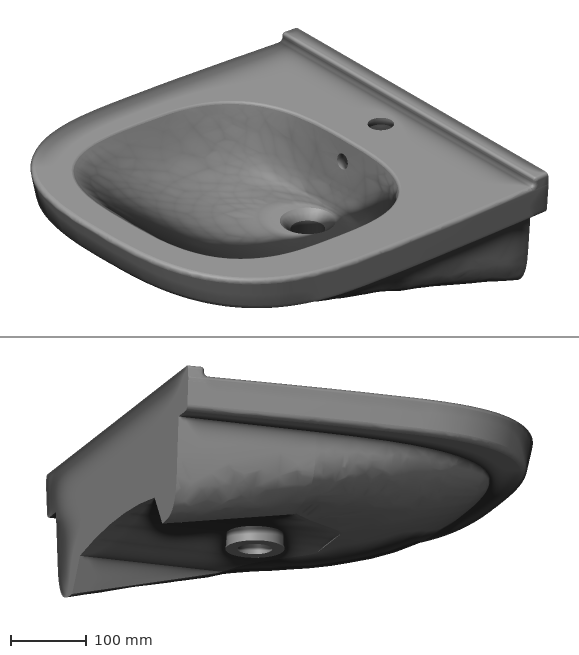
import cadquery as cq
import math


deck_points = 17
bowl_points = 24
underbody_points = 21
slack = 1.0

deck_depth = 550.3
deck_half_width = 275.15
wall_half_width = 265.0
deck_widest_y = -300.0
deck_exponent = 2.75
side_slope = 0.05
deck_thickness = 49.0
side_draft = 4.0
front_draft = 10.0
deck_top_round = 6.0
deck_bottom_round = 8.0
overall_height = 192.5

splash_height = 12.5
splash_depth = 23.5
splash_round = 4.0
splash_cove = 5.0
splash_side_round = 5.0
splash_root = 10.0
splash_inset = 0.4

drain_y = -195.0
drain_hole_diameter = 46.0
drain_seat_diameter = 74.0
drain_seat_depth = 12.0
boss_diameter = 76.0
boss_lip = 1.2
boss_lip_height = 2.0
boss_bottom_z = -145.0

bowl_depth = 103.0
bowl_floor_diameter = 76.0
bowl_half_width = 205.0
bowl_back_y = -133.0
bowl_front_y = -503.0
bowl_rim_exponent = 2.95
bowl_rim_round = 4.0
bowl_back_steepness = 3.5
bowl_front_steepness = 2.2
bowl_side_steepness = 3.5
bowl_levels = (1.0, 0.9, 0.75, 0.55, 0.3, 0.0)

tap_hole_diameter = 35.0
tap_y = -70.0
tap_hole_depth = 10.0
overflow_diameter = 22.0
overflow_z = -34.0
overflow_depth = 8.0

underbody_top_z = -40.0
underbody_half_width = 229.5
underbody_front_y = -502.0
underbody_plan_exponent = 2.8
leg_bottom_z = splash_height - overall_height
belly_y = -250.0
belly_z = -128.0
leg_exponent = 11.5
nose_exponent = 2.8
rounded_y = -420.0
corner_fade = 2
leg_draft = 0.055
nose_steepness = 1.9
nose_stations = (drain_y, -270, -350, -420, -470, -493, -501)

arch_crown_z = -124.0
arch_spring_x = 139.0
arch_spring_z = -135.5
leg_inner_x = 168.0
arch_length = 300.0


def superellipse_point(half_a, half_b, exponent, angle):
    """Point of |u/a|^n + |v/b|^n = 1 in the given direction of the unit square."""
    u = math.cos(angle)
    v = math.sin(angle)
    radius = (abs(u) ** exponent + abs(v) ** exponent) ** (-1 / exponent)
    return half_a * radius * u, half_b * radius * v


def deck_outline(z, side_inset, front_inset):
    """Closed deck outline: wall edge, bowed sides and superelliptic front."""
    half_width = deck_half_width - side_inset
    back_half = wall_half_width - side_inset
    front_length = deck_depth + deck_widest_y - front_inset
    front = []
    for i in range(deck_points):
        angle = math.pi * i / (deck_points - 1)
        x, y = superellipse_point(half_width, front_length, deck_exponent, angle)
        front.append((x, deck_widest_y - y))
    outline = [*front, (-back_half, 0)]
    return (
        cq.Workplane("XY", origin=(0, 0, z))
        .moveTo(-back_half, 0)
        .lineTo(back_half, 0)
        .spline(outline, tangents=[(side_slope, -1), (side_slope, 1)], includeCurrent=True)
        .close()
    )


def make_deck():
    trimmed = deck_top_round / deck_thickness
    top = deck_outline(0, -side_draft * trimmed, -front_draft * trimmed).val()
    bottom = deck_outline(-deck_thickness, side_draft, front_draft).val()
    deck = cq.Workplane(cq.Solid.makeLoft([top, bottom], True))
    off_wall = cq.selectors.BoxSelector(
        (-deck_depth, -deck_depth, -deck_depth), (deck_depth, -slack, deck_depth)
    )
    deck = deck.faces("<Z").edges(off_wall).fillet(deck_bottom_round)
    return deck.faces(">Z").edges(off_wall).fillet(deck_top_round)


def make_splash():
    cove_y = -splash_depth - splash_cove
    profile = (
        cq.Workplane("YZ", origin=(-deck_half_width, 0, 0))
        .moveTo(0, -splash_root)
        .lineTo(0, splash_height)
        .lineTo(splash_round - splash_depth, splash_height)
        .radiusArc((-splash_depth, splash_height - splash_round), -splash_round)
        .lineTo(-splash_depth, splash_cove)
        .radiusArc((cove_y, 0), splash_cove)
        .lineTo(cove_y, -splash_root)
        .close()
        .extrude(2 * deck_half_width)
    )
    footprint = deck_outline(-splash_root, splash_inset, 0).extrude(splash_root + splash_height)
    splash = profile.intersect(footprint)
    for side in (">X", "<X"):
        splash = splash.faces(">Z").edges(side).fillet(splash_side_round)
    return splash


def bowl_section(level):
    """Horizontal bowl section; level 1 is the rim and level 0 the flat floor circle."""
    floor_radius = bowl_floor_diameter / 2

    def reach(rim_reach, steepness):
        return floor_radius + (rim_reach - floor_radius) * level ** (bowl_front_steepness / steepness)

    back = drain_y + reach(bowl_back_y - drain_y, bowl_back_steepness)
    front = drain_y - reach(drain_y - bowl_front_y, bowl_front_steepness)
    half_width = reach(bowl_half_width, bowl_side_steepness)
    exponent = 2 + (bowl_rim_exponent - 2) * level
    z = -bowl_depth * (1 - level**bowl_front_steepness)
    points = []
    for i in range(bowl_points):
        angle = 2 * math.pi * i / bowl_points
        x, y = superellipse_point(half_width, (back - front) / 2, exponent, angle)
        points.append(cq.Vector(x, (back + front) / 2 + y, z))
    return cq.Wire.assembleEdges([cq.Edge.makeSpline(points, periodic=True)])


def make_bowl():
    return cq.Workplane(cq.Solid.makeLoft([bowl_section(level) for level in bowl_levels]))


def underbody_section(y):
    """Upright cross-section of the underbody: boxy at the wall, rounder and smaller forward."""
    forward = max(0.0, (drain_y - y) / (drain_y - underbody_front_y))
    narrowing = (1 - forward**underbody_plan_exponent) ** (1 / underbody_plan_exponent)
    half_width = underbody_half_width * narrowing
    if y > belly_y:
        bottom_z = leg_bottom_z + (belly_z - leg_bottom_z) * y / belly_y
    else:
        rise = (belly_y - y) / (belly_y - underbody_front_y)
        height = (belly_z - underbody_top_z) * (1 - rise**nose_steepness) ** (1 / nose_steepness)
        bottom_z = underbody_top_z + height
    boxiness = max(0.0, 1 - y / rounded_y) ** corner_fade
    exponent = nose_exponent + (leg_exponent - nose_exponent) * boxiness
    points = []
    for i in range(underbody_points):
        angle = math.pi * i / (underbody_points - 1)
        x, drop = superellipse_point(half_width, underbody_top_z - bottom_z, exponent, angle)
        taper = 1 - leg_draft * drop / (underbody_top_z - leg_bottom_z)
        points.append(cq.Vector(x * taper, y, underbody_top_z - drop))
    curve = cq.Edge.makeSpline(points)
    lid = cq.Edge.makeLine(points[-1], points[0])
    return cq.Wire.assembleEdges([curve, lid])


def make_underbody():
    legs = cq.Solid.makeLoft([underbody_section(0), underbody_section(drain_y)], True)
    nose = cq.Solid.makeLoft([underbody_section(y) for y in nose_stations])
    body = cq.Workplane(legs).union(cq.Workplane(nose))
    floor_z = 2 * leg_bottom_z
    arch = (
        cq.Workplane("XZ")
        .moveTo(-leg_inner_x, floor_z)
        .lineTo(-leg_inner_x, leg_bottom_z)
        .lineTo(-arch_spring_x, arch_spring_z)
        .threePointArc((0, arch_crown_z), (arch_spring_x, arch_spring_z))
        .lineTo(leg_inner_x, leg_bottom_z)
        .lineTo(leg_inner_x, floor_z)
        .close()
        .extrude(arch_length)
    )
    return body.cut(arch)


def make_boss():
    base = cq.Workplane("XY", origin=(0, drain_y, boss_bottom_z))
    barrel = base.circle(boss_diameter / 2).extrude(-bowl_depth - drain_seat_depth - boss_bottom_z)
    lip = base.circle(boss_diameter / 2 + boss_lip).extrude(boss_lip_height)
    return barrel.union(lip)


def make_drain():
    seat_radius = drain_seat_diameter / 2
    hole_radius = drain_hole_diameter / 2
    return (
        cq.Workplane("XZ", origin=(0, drain_y, 0))
        .moveTo(0, boss_bottom_z)
        .lineTo(hole_radius, boss_bottom_z)
        .lineTo(hole_radius, -bowl_depth - drain_seat_depth)
        .lineTo(seat_radius, -bowl_depth)
        .lineTo(0, -bowl_depth)
        .close()
        .revolve(360, (0, 0, 0), (0, 1, 0))
    )


def make_tap_hole():
    floor = cq.Workplane("XY", origin=(0, tap_y, -tap_hole_depth))
    return floor.circle(tap_hole_diameter / 2).extrude(tap_hole_depth)


def make_overflow():
    start = cq.Workplane("XZ", origin=(0, drain_y, overflow_z))
    return start.circle(overflow_diameter / 2).extrude(drain_y - bowl_back_y - overflow_depth)


body = make_deck().union(make_splash())
body = body.union(make_underbody(), clean=False)
body = body.union(make_boss(), clean=False)
body = body.cut(make_bowl(), clean=False)
rim = cq.selectors.BoxSelector(
    (-bowl_half_width - slack, bowl_front_y - slack, -slack),
    (bowl_half_width + slack, bowl_back_y + slack, slack),
    boundingbox=True,
)
body = body.edges(rim).fillet(bowl_rim_round)
for opening in (make_drain(), make_tap_hole(), make_overflow()):
    body = body.cut(opening, clean=False)
result = body